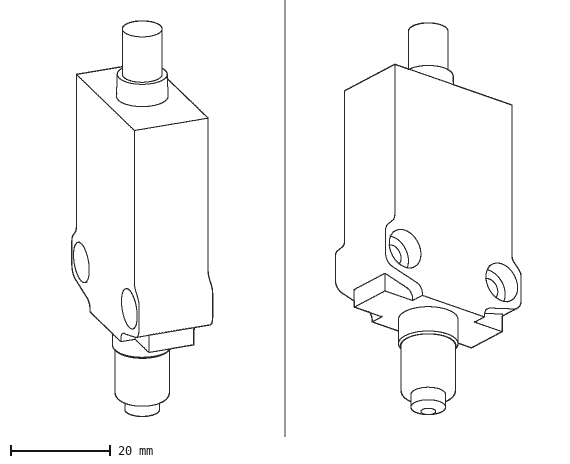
import cadquery as cq
import math

housing_width = 30.3
housing_depth = 16.0
housing_height = 49.2

ear_span = 35.0
ear_shoulder_z = 14.9
ear_slope_z = 4.55
underside_angle = 15.0
foot_width = 16.0
outline_radius = 2.0
ear_corner_radius = 2.45

tongue_depth = 9.8
tongue_height = 5.1

hole_spacing = 25.0
hole_z = 9.0
hole_diameter = 4.4
counterbore_diameter = 8.2
counterbore_depth = 4.0

cable_diameter = 8.0
cable_top_z = 63.9
collar_bottom_diameter = 10.4
collar_top_diameter = 10.0
collar_height = 4.8

nose_diameter = 12.0
nose_length = 5.8
nose_chamfer = 0.4
barrel_diameter = 11.0
barrel_end_z = -16.7
barrel_end_radius = 1.0
plunger_diameter = 7.0
plunger_end_z = cable_top_z - 84.3
plunger_tip_diameter = 2.95
plunger_tip_length = 0.9


def make_housing():
    """Full-depth plate with ears, rounded at the corners of its outline."""
    side_x = housing_width / 2
    ear_x = ear_span / 2
    foot_x = foot_width / 2
    ear_top_z = ear_shoulder_z - (ear_x - side_x)
    foot_z = ear_slope_z - (ear_x - foot_x) * math.tan(math.radians(underside_angle))
    right_side = [
        (foot_x, 0),
        (foot_x, foot_z),
        (ear_x, ear_slope_z),
        (ear_x, ear_top_z),
        (side_x, ear_shoulder_z),
        (side_x, housing_height),
    ]
    left_side = [(-x, z) for x, z in reversed(right_side)]
    plate = (
        cq.Workplane("XZ")
        .polyline(right_side + left_side)
        .close()
        .extrude(housing_depth / 2, both=True)
    )

    def round_corners(body, x, z, radius):
        for corner_x in (-x, x):
            edge = cq.selectors.NearestToPointSelector((corner_x, 0, z))
            body = body.edges("|Y").edges(edge).fillet(radius)
        return body

    plate = round_corners(plate, foot_x, foot_z, outline_radius)
    plate = round_corners(plate, ear_x, ear_slope_z, ear_corner_radius)
    plate = round_corners(plate, ear_x, ear_top_z, outline_radius)
    return round_corners(plate, side_x, ear_shoulder_z, outline_radius)


def make_tongue():
    return cq.Workplane("XY").rect(housing_width, tongue_depth).extrude(tongue_height)


def cut_mounting_holes(body):
    """Through holes counterbored from both faces."""
    centres = [(-hole_spacing / 2, hole_z), (hole_spacing / 2, hole_z)]

    def cylinders(diameter, start_y, length):
        return (
            cq.Workplane("XZ", origin=(0, start_y, 0))
            .pushPoints(centres)
            .circle(diameter / 2)
            .extrude(-length)
        )

    front_y = -housing_depth / 2
    back_floor_y = housing_depth / 2 - counterbore_depth
    body = body.cut(cylinders(hole_diameter, front_y, housing_depth))
    body = body.cut(cylinders(counterbore_diameter, front_y, counterbore_depth))
    return body.cut(cylinders(counterbore_diameter, back_floor_y, counterbore_depth))


def make_turned_parts():
    """Cable, collar, nose, barrel and plunger as one revolved profile."""
    collar_top_z = housing_height + collar_height
    barrel_radius = barrel_diameter / 2
    round_inset = barrel_end_radius * (1 - math.sqrt(0.5))
    plunger_radius = plunger_diameter / 2
    profile = (
        cq.Workplane("XZ")
        .moveTo(0, cable_top_z)
        .lineTo(cable_diameter / 2, cable_top_z)
        .lineTo(cable_diameter / 2, collar_top_z)
        .lineTo(collar_top_diameter / 2, collar_top_z)
        .lineTo(collar_bottom_diameter / 2, housing_height)
        .lineTo(nose_diameter / 2, 0)
        .lineTo(nose_diameter / 2, nose_chamfer - nose_length)
        .lineTo(nose_diameter / 2 - nose_chamfer, -nose_length)
        .lineTo(barrel_radius, -nose_length)
        .lineTo(barrel_radius, barrel_end_z + barrel_end_radius)
        .threePointArc(
            (barrel_radius - round_inset, barrel_end_z + round_inset),
            (barrel_radius - barrel_end_radius, barrel_end_z),
        )
        .lineTo(plunger_radius, barrel_end_z)
        .lineTo(plunger_radius, plunger_end_z + plunger_tip_length)
        .lineTo(plunger_tip_diameter / 2, plunger_end_z)
        .lineTo(0, plunger_end_z)
        .close()
    )
    return profile.revolve(360, (0, 0), (0, 1))


housing = make_housing().union(make_tongue())
result = cut_mounting_holes(housing).union(make_turned_parts())